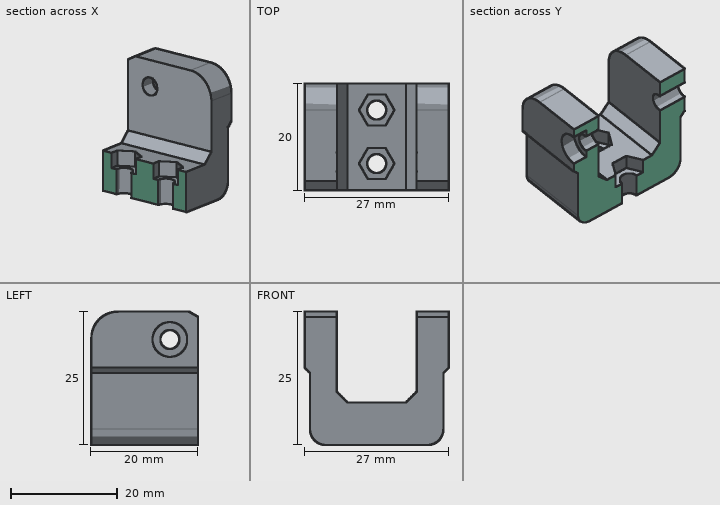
import cadquery as cq

width = 27.0
depth = 20.0
height = 25.0

channel_width = 14.9
floor_height = 8.0
channel_chamfer = 2.0

side_step = 1.0
step_bottom = 13.5
bottom_radius = 3.0
arm_back_radius = 5.0
arm_front_chamfer_drop = 1.0
arm_front_chamfer_run = 1.73

hole_diameter = 3.5
pivot_from_front = 5.3
pivot_height = 19.76
head_diameter = 6.5
head_depth = 3.0

bolt_from_edge = depth / 4
nut_across_corners = 6.65
nut_depth = 3.0

half_width = width / 2
half_body = half_width - side_step
half_channel = channel_width / 2
front = -depth / 2
back = depth / 2


def make_body():
    """U-shaped profile extruded from front to back, with rounded bottom edges."""
    right_half = [
        (half_body, 0),
        (half_body, step_bottom),
        (half_width, step_bottom + side_step),
        (half_width, height),
        (half_channel, height),
        (half_channel, floor_height + channel_chamfer),
        (half_channel - channel_chamfer, floor_height),
    ]
    left_half = [(-x, z) for x, z in reversed(right_half)]
    body = cq.Workplane("XZ", origin=(0, back, 0)).polyline(right_half + left_half).close().extrude(depth)
    return body.edges("|Y and <Z").fillet(bottom_radius)


def make_front_bevel():
    """Wedge removed from the front top corner of both arms."""
    return (
        cq.Workplane("YZ", origin=(-half_width, 0, 0))
        .moveTo(front, height)
        .lineTo(front + arm_front_chamfer_run, height)
        .lineTo(front, height - arm_front_chamfer_drop)
        .close()
        .extrude(width)
    )


def make_pivot():
    """Through hole along X and the round head recess on the -X side."""
    side = cq.Workplane("YZ", origin=(-half_width, front + pivot_from_front, pivot_height))
    hole = side.circle(hole_diameter / 2).extrude(width)
    recess = side.circle(head_diameter / 2).extrude(head_depth)
    return hole.union(recess)


def make_floor_bolt(y):
    """Vertical through hole with a nut pocket sunk into the channel floor."""
    hole = cq.Workplane("XY", origin=(0, y, 0)).circle(hole_diameter / 2).extrude(floor_height)
    pocket = (
        cq.Workplane("XY", origin=(0, y, floor_height - nut_depth))
        .polygon(6, nut_across_corners)
        .extrude(nut_depth)
    )
    return hole.union(pocket)


result = make_body()
result = result.faces(">Z").edges(">Y").fillet(arm_back_radius)
result = result.cut(make_front_bevel())
result = result.cut(make_pivot())
for bolt_y in (front + bolt_from_edge, back - bolt_from_edge):
    result = result.cut(make_floor_bolt(bolt_y))